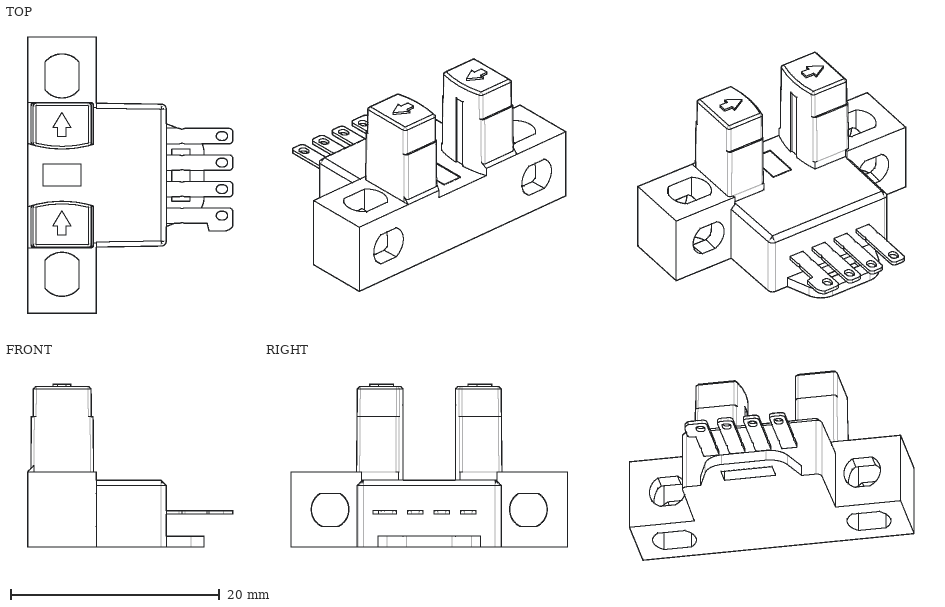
import cadquery as cq
import math


bar_depth = 6.6
bar_length = 26.5
bar_height = 7.2
bar_mid_x = bar_depth / 2

body_end_x = 13.3
body_height = 6.4
body_half_width_front = 6.9
body_half_width_rear = 6.8
body_edge = 0.5
rear_step_half_width = 6.48

hole_offset_y = 9.5
hole_flat_distance = 3.25
vertical_hole_diameter = 4.2
cross_hole_diameter = 3.8
cross_hole_z = 3.6
cross_hole_draft = 1.0

tower_front_x = 0.31
tower_rear_x = 6.34
tower_outer_y = 6.97
tower_draft = 0.5
tower_step_z = 12.5
tower_step = 0.17
tower_top_z = 15.4
tower_corner_radius = 0.3
tower_top_chamfer = 0.25
gap_half_mid = 2.5
gap_half_end = 3.04
toe_size = 0.62
slit_width = 1.0
slit_depth = 0.2
slit_top_z = 13.6

label_length = 3.66
label_width = 2.1
label_depth = 0.1

arrow_height = 0.2
arrow_tips_y = (6.0, -3.42)
arrow_length = 2.3
arrow_head_length = 1.43
arrow_head_half = 0.86
arrow_stem_half = 0.41

pin_pitch = 2.54
pin_row_y = -0.07
pin_count = 4
pin_width = 1.5
pin_bottom_z = 3.15
pin_thickness = 0.35
pin_end_x = 19.68
pin_corner = 0.4
pin_embedding = 1.0
pin_root_x = body_end_x - pin_embedding
pin_notch_x = 14.8
pin_notch_half = 0.28
pin_notch_depth = 0.08
eye_x = 18.62
eye_length = 1.06
eye_width = 0.8
foot_start_x = 17.2
foot_slant = 0.18
foot_drop = 0.74
foot_corner_length = 0.9
foot_corner_rise = 0.5

tongue_height = 1.05
tongue_end_x = 16.92
tongue_root_half = 4.93
tongue_end_half = 3.53
tongue_radius = 2.0
tongue_window = (13.83, 15.54)
tongue_window_half = 2.5


def box(x_range, y_range, z_range):
    """Axis-aligned block from its limits along each axis."""
    size = [limits[1] - limits[0] for limits in (x_range, y_range, z_range)]
    corner = (x_range[0], y_range[0], z_range[0])
    return cq.Workplane("XY").box(*size, centered=False).translate(corner)


def mirrored_pair(solid):
    """The solid together with its mirror image across the mid plane."""
    return solid.union(solid.mirror("XZ"))


def make_bar():
    return box((0, bar_depth), (-bar_length / 2, bar_length / 2), (0, bar_height))


def make_body():
    start_x = bar_mid_x
    outline = [
        (start_x, -body_half_width_front),
        (bar_depth, -body_half_width_front),
        (body_end_x, -body_half_width_rear),
        (body_end_x, body_half_width_rear),
        (bar_depth, body_half_width_front),
        (start_x, body_half_width_front),
    ]
    body = cq.Workplane("XY").polyline(outline).close().extrude(body_height)
    body = body.edges("|Z and >X").fillet(body_edge)
    rim = body.faces(">Z").edges("not <X")
    return rim.chamfer(body_edge)


def cut_gap(solid):
    """Clear the bar between the towers and behind them down to the body top."""
    gap = (
        cq.Workplane("XY", origin=(0, 0, body_height))
        .moveTo(0, -gap_half_end)
        .threePointArc((bar_mid_x, -gap_half_mid), (bar_depth, -gap_half_end))
        .lineTo(bar_depth, gap_half_end)
        .threePointArc((bar_mid_x, gap_half_mid), (0, gap_half_end))
        .close()
        .extrude(bar_height - body_height)
    )
    behind = box(
        (tower_rear_x, bar_depth),
        (-rear_step_half_width, rear_step_half_width),
        (body_height, bar_height),
    )
    return solid.cut(gap).cut(behind)


def cut_label(solid):
    label = cq.Workplane("XY", origin=(bar_mid_x, 0, body_height)).rect(label_length, label_width)
    return solid.cut(label.extrude(-label_depth))


def cut_mounting_holes(solid):
    """Round holes along Z and X in each flange, both narrowed by two flats."""
    half_flat = hole_flat_distance / 2
    vertical = cq.Workplane("XY", origin=(bar_mid_x, hole_offset_y, 0))
    vertical = vertical.circle(vertical_hole_diameter / 2).extrude(bar_height)
    vertical_flats = box(
        (bar_mid_x - half_flat, bar_mid_x + half_flat),
        (0, bar_length / 2),
        (0, bar_height),
    )

    cross = cq.Workplane("YZ", origin=(0, hole_offset_y, cross_hole_z))
    cross = cross.circle(cross_hole_diameter / 2).extrude(bar_depth, taper=cross_hole_draft)
    flat_bottom = cross_hole_z - half_flat
    flat_top = cross_hole_z + half_flat
    lean = bar_depth * math.tan(math.radians(cross_hole_draft))
    flats_profile = [
        (0, flat_bottom),
        (bar_depth, flat_bottom),
        (bar_depth, flat_top - lean),
        (0, flat_top),
    ]
    cross_flats = cq.Workplane("XZ").polyline(flats_profile).close().extrude(-bar_length / 2)

    holes = vertical.intersect(vertical_flats).union(cross.intersect(cross_flats))
    return solid.cut(mirrored_pair(holes))


def tower_plan(height):
    """Tower footprint with the bowed gap side, standing on the bar top."""
    return (
        cq.Workplane("XY", origin=(0, 0, bar_height))
        .moveTo(0, tower_outer_y)
        .lineTo(0, gap_half_end)
        .threePointArc((bar_mid_x, gap_half_mid), (bar_depth, gap_half_end))
        .lineTo(bar_depth, tower_outer_y)
        .close()
        .extrude(height)
    )


def tower_block(top_z, inset):
    """Tower with drafted front, rear and outer sides and rounded corners."""
    height = top_z - bar_height
    lean = height * math.tan(math.radians(tower_draft))
    front = tower_front_x + inset
    rear = tower_rear_x - inset
    side_profile = [(front, bar_height), (rear, bar_height), (rear - lean, top_z), (front + lean, top_z)]
    sides = cq.Workplane("XZ").polyline(side_profile).close().extrude(-bar_length / 2)
    outer_profile = [
        (0, bar_height),
        (tower_outer_y, bar_height),
        (tower_outer_y - lean, top_z),
        (0, top_z),
    ]
    outer = cq.Workplane("YZ").polyline(outer_profile).close().extrude(bar_depth)
    block = tower_plan(height).intersect(sides).intersect(outer)
    upright = block.edges("not (<Z or >Z)")
    return upright.fillet(tower_corner_radius)


def make_tower():
    lower = tower_block(tower_step_z, 0)
    upper = tower_block(tower_top_z, tower_step)
    upper = upper.faces(">Z").chamfer(tower_top_chamfer)
    toe_profile = [(0, bar_height), (toe_size, bar_height), (toe_size, bar_height + toe_size)]
    toe = cq.Workplane("XZ").polyline(toe_profile).close().extrude(-bar_length / 2)
    toe = toe.intersect(tower_plan(toe_size))
    return lower.union(upper).union(toe)


def cut_slits(solid):
    slit = box(
        (bar_mid_x - slit_width / 2, bar_mid_x + slit_width / 2),
        (0, gap_half_mid + slit_depth),
        (body_height, slit_top_z),
    )
    return solid.cut(mirrored_pair(slit))


def make_arrow(tip_y):
    head_y = tip_y - arrow_head_length
    tail_y = tip_y - arrow_length
    half_outline = [
        (0, tip_y),
        (arrow_head_half, head_y),
        (arrow_stem_half, head_y),
        (arrow_stem_half, tail_y),
    ]
    other_half = [(-x, y) for x, y in reversed(half_outline[1:])]
    plane = cq.Workplane("XY", origin=(bar_mid_x, 0, tower_top_z))
    return plane.polyline(half_outline + other_half).close().extrude(arrow_height)


def make_pin(center_y):
    half = pin_width / 2
    pin = box((pin_root_x, pin_end_x), (-half, half), (0, pin_thickness))
    pin = pin.edges("|Z and >X").fillet(pin_corner)
    notch_profile = [
        (pin_notch_x - pin_notch_half, half),
        (pin_notch_x, half - pin_notch_depth),
        (pin_notch_x + pin_notch_half, half),
    ]
    notch = cq.Workplane("XY").polyline(notch_profile).close().extrude(pin_thickness)
    pin = pin.cut(mirrored_pair(notch))
    return pin.translate((0, center_y, pin_bottom_z))


def make_foot(center_y):
    """Sideways lug at the free end of the terminal nearest -Y."""
    bottom = -pin_width / 2 - foot_drop
    outline = (
        cq.Workplane("XY", origin=(0, center_y, pin_bottom_z))
        .moveTo(foot_start_x, -pin_width / 2)
        .lineTo(foot_start_x + foot_slant, bottom)
        .lineTo(pin_end_x - foot_corner_length, bottom)
        .tangentArcPoint((pin_end_x, bottom + foot_corner_rise), relative=False)
        .lineTo(pin_end_x, 0)
        .lineTo(foot_start_x, 0)
        .close()
    )
    return outline.extrude(pin_thickness)


def add_terminals(solid):
    first_y = pin_row_y - pin_pitch * (pin_count - 1) / 2
    solid = solid.union(make_foot(first_y))
    for index in range(pin_count):
        center_y = first_y + index * pin_pitch
        eye = cq.Workplane("XY", origin=(eye_x, center_y, pin_bottom_z)).slot2D(eye_length, eye_width)
        solid = solid.union(make_pin(center_y)).cut(eye.extrude(pin_thickness))
    return solid


def make_tongue():
    outline = [
        (body_end_x, -tongue_root_half),
        (tongue_end_x, -tongue_end_half),
        (tongue_end_x, tongue_end_half),
        (body_end_x, tongue_root_half),
    ]
    tongue = cq.Workplane("XY").polyline(outline).close().extrude(tongue_height)
    tongue = tongue.edges("|Z and >X").fillet(tongue_radius)
    window = box(tongue_window, (-tongue_window_half, tongue_window_half), (0, tongue_height))
    return tongue.cut(window)


housing = make_bar().union(make_body())
housing = cut_gap(housing)
housing = cut_label(housing)
housing = cut_mounting_holes(housing)
housing = housing.union(mirrored_pair(make_tower()))
housing = cut_slits(housing)
for arrow_tip_y in arrow_tips_y:
    housing = housing.union(make_arrow(arrow_tip_y))
housing = housing.union(make_tongue())
result = add_terminals(housing)